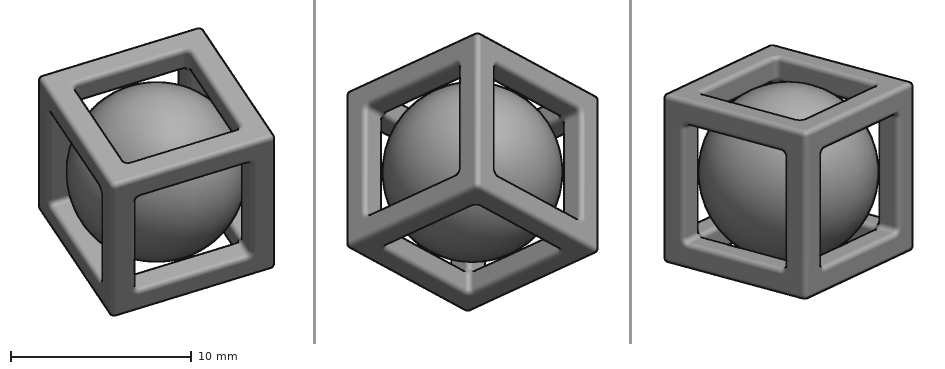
import cadquery as cq

CUBE_SIDE = 10.0
WINDOW_SIDE = 7.0
EDGE_RADIUS = 0.29
BALL_DIAMETER = 10.0


def make_cage():
    """Cube frame pierced by a square window along each axis, with every edge rounded."""
    frame = cq.Workplane("XY").box(CUBE_SIDE, CUBE_SIDE, CUBE_SIDE)
    for plane in ("XY", "YZ", "XZ"):
        window = cq.Workplane(plane).box(WINDOW_SIDE, WINDOW_SIDE, CUBE_SIDE)
        frame = frame.cut(window)
    return frame.edges().fillet(EDGE_RADIUS).solids()


def make_ball():
    """Loose ball held inside the cage, reaching the middle of each window."""
    return cq.Workplane("XY").sphere(BALL_DIAMETER / 2)


cage = make_cage()
ball = make_ball()

result = cq.Compound.makeCompound([cage.val(), ball.val()])